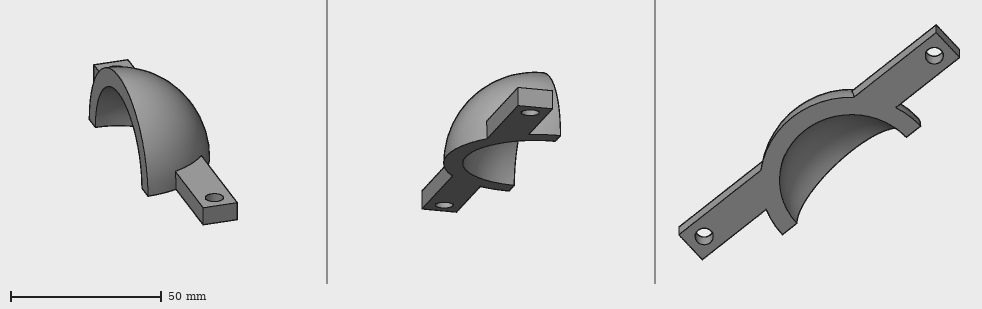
import cadquery as cq

inner_radius = 24.0
wall_thickness = 6.35
outer_radius = inner_radius + wall_thickness

bar_length = 113.0
bar_width = 12.0
bar_thickness = wall_thickness
bar_center_y = 16.5
hole_diameter = 6.0
hole_end_distance = bar_width / 2


def quarter_ball(radius):
    """Quarter of a ball centred on the origin, on the +Y and +Z sides."""
    ball = cq.Workplane("XY").sphere(radius)
    quarter_space = cq.Workplane("XY").box(2 * radius, radius, radius, centered=(True, False, False))
    return ball.intersect(quarter_space)


def mounting_bar():
    """Flat bar standing on Z = 0, drilled through near both ends."""
    hole_x = bar_length / 2 - hole_end_distance
    base = cq.Workplane("XY").center(0, bar_center_y)
    bar = base.rect(bar_length, bar_width).extrude(bar_thickness)
    holes = (
        cq.Workplane("XY")
        .center(0, bar_center_y)
        .pushPoints([(-hole_x, 0), (hole_x, 0)])
        .circle(hole_diameter / 2)
        .extrude(bar_thickness)
    )
    return bar.cut(holes)


result = quarter_ball(outer_radius).union(mounting_bar()).cut(quarter_ball(inner_radius))